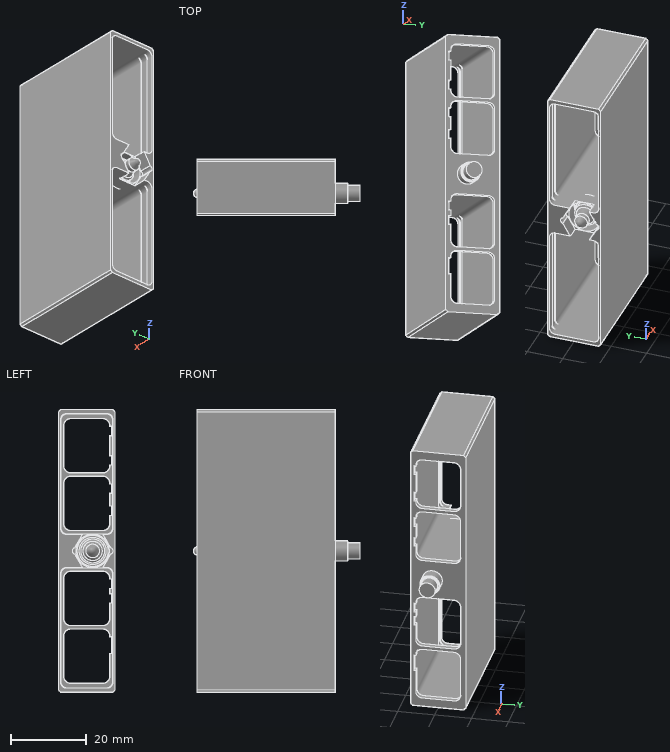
import cadquery as cq

LENGTH = 36.7
WIDTH = 15.0
HEIGHT = 74.9
EDGE_CHAMFER = 0.6

BLOCK_HALF_HEIGHT = 4.5
END_WALL = 1.2
SIDE_WALL = 0.7
POCKET_CORNER_RADIUS = 1.5
BACK_PLATE = 1.5
LEAD_IN_DEPTH = 0.9
LEAD_IN_STEP = 0.11
pocket_width = WIDTH - 2 * SIDE_WALL
pocket_height = HEIGHT / 2 - END_WALL - BLOCK_HALF_HEIGHT
pocket_center_z = BLOCK_HALF_HEIGHT + pocket_height / 2

GROOVE_START = 1.9
GROOVE_END = 4.35
GROOVE_DEPTH = 0.3
GROOVE_END_INSET = 0.15

WINDOW_WIDTH = 12.15
WINDOW_HEIGHT = 14.3
WINDOW_RADIUS = 1.8
WINDOW_PITCH = 15.3
WINDOW_PAIR_CENTER = 20.2

SLOT_HEIGHT = 2.4
SLOT_DEPTH = 0.5
SLOT_STEP = 1.95

SCREW_Y = -1.6
HEX_DEPTH = 3.75
HEX_CORNER_RADIUS = 5.25
RELIEF_RADIUS = 0.9
RELIEF_OFFSET = 4.5
BORE_RADIUS = 4.4
BORE_END = 7.9

TIP_X = -0.9
DOME_END = -0.49
DOME_RADIUS = 0.9
POINT_END = 1.05
POINT_RADIUS = 1.8
POINT_SHANK_END = 2.5
SHOULDER_X = 4.35
SHOULDER_RADIUS = 2.55
COLLAR_X = 4.8
COLLAR_RADIUS = 3.15
HEAD_X = 6.75
HEAD_RADIUS = 3.6
FLANGE_X = 7.35
FLANGE_RADIUS = 4.1
SHANK_RADIUS = 2.7
SHANK_END = 40.1
SHANK_CHAMFER = 0.2
TAIL_RADIUS = 2.2
SCREW_END = 43.2


def section(x, y=0.0, z=0.0):
    """Workplane across X: local x is +Y, local y is +Z, extruding toward +X."""
    return cq.Workplane("YZ", origin=(x, y, z))


def rounded_prism(x_start, x_end, center_z, width, height, radius):
    """Block along X with its four long edges rounded."""
    prism = section(x_start, z=center_z).rect(width, height).extrude(x_end - x_start)
    return prism.edges("|X").fillet(radius)


def rounded_sketch(width, height, radius):
    return cq.Sketch().rect(width, height).vertices().fillet(radius)


def make_pocket(center_z):
    """Pocket with a tapered mouth and a latch groove behind it."""
    pocket = rounded_prism(
        0, LENGTH - BACK_PLATE, center_z, pocket_width, pocket_height, POCKET_CORNER_RADIUS
    )
    mouth_sketch = rounded_sketch(
        pocket_width + 2 * LEAD_IN_STEP,
        pocket_height + 2 * LEAD_IN_STEP,
        POCKET_CORNER_RADIUS + LEAD_IN_STEP,
    )
    throat_sketch = rounded_sketch(pocket_width, pocket_height, POCKET_CORNER_RADIUS)
    throat_sketch = throat_sketch.moved(cq.Location(cq.Vector(0, 0, LEAD_IN_DEPTH)))
    mouth = section(0, z=center_z).placeSketch(mouth_sketch, throat_sketch).loft()
    groove = rounded_prism(
        GROOVE_START,
        GROOVE_END,
        center_z,
        pocket_width + 2 * GROOVE_DEPTH,
        pocket_height - 2 * GROOVE_END_INSET,
        POCKET_CORNER_RADIUS,
    )
    return pocket.union(mouth).union(groove)


def make_window(center_z, second_slot_offset):
    """Window with a fixed coding slot and a second one that tells the windows apart."""
    plate_front = LENGTH - BACK_PLATE
    window = rounded_prism(
        plate_front, LENGTH, center_z, WINDOW_WIDTH, WINDOW_HEIGHT, WINDOW_RADIUS
    )
    for offset in (2 * SLOT_STEP, second_slot_offset):
        slot = (
            section(plate_front, -WINDOW_WIDTH / 2, center_z + offset)
            .rect(2 * SLOT_DEPTH, SLOT_HEIGHT)
            .extrude(BACK_PLATE)
        )
        window = window.union(slot)
    return window


def make_screw_seat():
    """Hexagonal recess with corner reliefs, then the bore and the shank hole."""
    hexagon = section(0, SCREW_Y).polygon(6, 2 * HEX_CORNER_RADIUS).extrude(HEX_DEPTH)
    reliefs = (
        section(0, SCREW_Y)
        .pushPoints([(-RELIEF_OFFSET, 0), (RELIEF_OFFSET, 0)])
        .circle(RELIEF_RADIUS)
        .extrude(HEX_DEPTH)
    )
    bore = section(0, SCREW_Y).circle(BORE_RADIUS).extrude(BORE_END)
    shank_hole = section(0, SCREW_Y).circle(SHANK_RADIUS).extrude(LENGTH)
    return hexagon.union(reliefs).union(bore).union(shank_hole)


def make_housing():
    housing = section(0).rect(WIDTH, HEIGHT).extrude(LENGTH)
    housing = housing.edges("|X").chamfer(EDGE_CHAMFER)
    for center_z in (pocket_center_z, -pocket_center_z):
        housing = housing.cut(make_pocket(center_z))
    window_centers = [
        pair_center + side * WINDOW_PITCH / 2
        for pair_center in (WINDOW_PAIR_CENTER, -WINDOW_PAIR_CENTER)
        for side in (1, -1)
    ]
    for index, center_z in enumerate(window_centers):
        housing = housing.cut(make_window(center_z, (index - 2) * SLOT_STEP))
    return housing.cut(make_screw_seat())


def make_jackscrew():
    """Half profile in X and radius, revolved about the screw axis."""
    dome_height = DOME_END - TIP_X
    sphere_radius = (DOME_RADIUS**2 + dome_height**2) / (2 * dome_height)
    profile = (
        cq.Workplane("XY", origin=(0, SCREW_Y, 0))
        .moveTo(TIP_X, 0)
        .radiusArc((DOME_END, DOME_RADIUS), sphere_radius)
        .lineTo(POINT_END, POINT_RADIUS)
        .lineTo(POINT_SHANK_END, POINT_RADIUS)
        .lineTo(SHOULDER_X, SHOULDER_RADIUS)
        .lineTo(COLLAR_X, COLLAR_RADIUS)
        .lineTo(HEAD_X, COLLAR_RADIUS)
        .lineTo(HEAD_X, HEAD_RADIUS)
        .lineTo(FLANGE_X, HEAD_RADIUS)
        .lineTo(FLANGE_X, FLANGE_RADIUS)
        .lineTo(BORE_END, FLANGE_RADIUS)
        .lineTo(BORE_END, SHANK_RADIUS)
        .lineTo(SHANK_END - SHANK_CHAMFER, SHANK_RADIUS)
        .lineTo(SHANK_END, SHANK_RADIUS - SHANK_CHAMFER)
        .lineTo(SHANK_END, TAIL_RADIUS)
        .lineTo(SCREW_END, TAIL_RADIUS)
        .lineTo(SCREW_END, 0)
        .close()
    )
    return profile.revolve(360, (0, 0, 0), (1, 0, 0))


housing = make_housing()
jackscrew = make_jackscrew()

result = cq.Compound.makeCompound([housing.val(), jackscrew.val()])